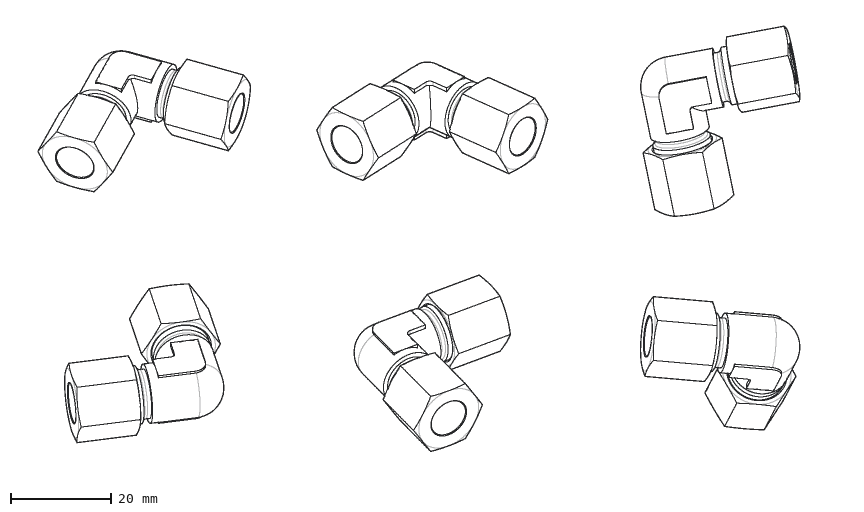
import cadquery as cq
import math

overall_length = 33.08
nut_across_flats = 14.0
nut_across_corners = nut_across_flats / math.cos(math.pi / 6)
arm_length = overall_length - nut_across_corners / 2

body_radius = 12.0 / 2
body_end = 9.7
neck_radius = 10.02 / 2
groove_fillet = 0.73
shoulder_angle = math.radians(60)
collar_radius = 11.78 / 2
collar_start = 11.45
x_nut_start = 12.3
y_nut_start = 12.7
nut_chamfer_angle = math.radians(15)
nut_face_radius = nut_across_flats / 2
countersink_radius = 6.2
countersink_depth = countersink_radius - collar_radius

bore_radius = 6.4 / 2
socket_radius = 8.0 / 2
socket_start = 14.0
socket_chamfer = 0.15

pad_outer = 2.38
pad_inner = 3.18
pad_reach = 7.77
pad_corner_radius = 2.6
pad_inner_fillet = 1.0


def cylinder(radius, start, end):
    """Cylinder along X between two stations."""
    return cq.Workplane("YZ").workplane(offset=start).circle(radius).extrude(end - start)


def turned_arm(nut_start):
    """Body, neck, flared shoulder and collar of one arm, turned about X."""
    fillet_length = groove_fillet * math.sin(shoulder_angle)
    fillet_top = neck_radius + groove_fillet * (1 - math.cos(shoulder_angle))
    fillet_end = collar_start - (collar_radius - fillet_top) / math.tan(shoulder_angle)
    profile = (
        cq.Workplane("XY")
        .lineTo(0, body_radius)
        .lineTo(body_end, body_radius)
        .lineTo(body_end, neck_radius)
        .lineTo(fillet_end - fillet_length, neck_radius)
        .radiusArc((fillet_end, fillet_top), -groove_fillet)
        .lineTo(collar_start, collar_radius)
        .lineTo(nut_start + countersink_depth, collar_radius)
        .lineTo(nut_start + countersink_depth, 0)
        .close()
    )
    return profile.revolve(360, (0, 0), (1, 0))


def hex_nut(start):
    """Hexagon along X with both ends chamfered and the rear countersunk around the collar."""
    corner_radius = nut_across_corners / 2
    chamfer_length = (corner_radius - nut_face_radius) * math.tan(nut_chamfer_angle)
    hexagon = (
        cq.Workplane("YZ")
        .workplane(offset=start)
        .polygon(6, nut_across_corners)
        .extrude(arm_length - start)
    )
    envelope = (
        cq.Workplane("XY")
        .moveTo(start + countersink_depth, 0)
        .lineTo(start + countersink_depth, collar_radius)
        .lineTo(start, countersink_radius)
        .lineTo(start, nut_face_radius)
        .lineTo(start + chamfer_length, corner_radius)
        .lineTo(arm_length - chamfer_length, corner_radius)
        .lineTo(arm_length, nut_face_radius)
        .lineTo(arm_length, 0)
        .close()
        .revolve(360, (0, 0), (1, 0))
    )
    return hexagon.intersect(envelope)


def arm_bore():
    """Through bore, tube socket and its entry chamfer along X."""
    entry = (
        cq.Workplane("YZ")
        .workplane(offset=arm_length)
        .circle(socket_radius + socket_chamfer)
        .extrude(-socket_chamfer, taper=45)
    )
    return (
        cylinder(bore_radius, 0, arm_length)
        .union(cylinder(socket_radius, socket_start, arm_length))
        .union(entry)
    )


def to_y_arm(shape):
    """Turn an arm lying along +X so that it lies along -Y."""
    return shape.rotate((0, 0, 0), (0, 0, 1), -90)


def wrench_pads():
    """L-shaped flats on the top and bottom of the elbow."""
    outline = (
        cq.Workplane("XY")
        .workplane(offset=-body_radius)
        .moveTo(pad_corner_radius - pad_outer, pad_outer)
        .lineTo(pad_reach, pad_outer)
        .lineTo(pad_reach, -pad_inner)
        .lineTo(pad_inner + pad_inner_fillet, -pad_inner)
        .radiusArc((pad_inner, -pad_inner - pad_inner_fillet), -pad_inner_fillet)
        .lineTo(pad_inner, -pad_reach)
        .lineTo(-pad_outer, -pad_reach)
        .lineTo(-pad_outer, pad_outer - pad_corner_radius)
        .radiusArc((pad_corner_radius - pad_outer, pad_outer), pad_corner_radius)
        .close()
    )
    return outline.extrude(2 * body_radius)


outside = (
    cq.Workplane("XY")
    .sphere(body_radius)
    .union(turned_arm(x_nut_start))
    .union(to_y_arm(turned_arm(y_nut_start)))
    .union(wrench_pads())
    .union(hex_nut(x_nut_start))
    .union(to_y_arm(hex_nut(y_nut_start)))
)

passage = (
    cq.Workplane("XY")
    .sphere(bore_radius)
    .union(arm_bore())
    .union(to_y_arm(arm_bore()))
)

result = outside.cut(passage)